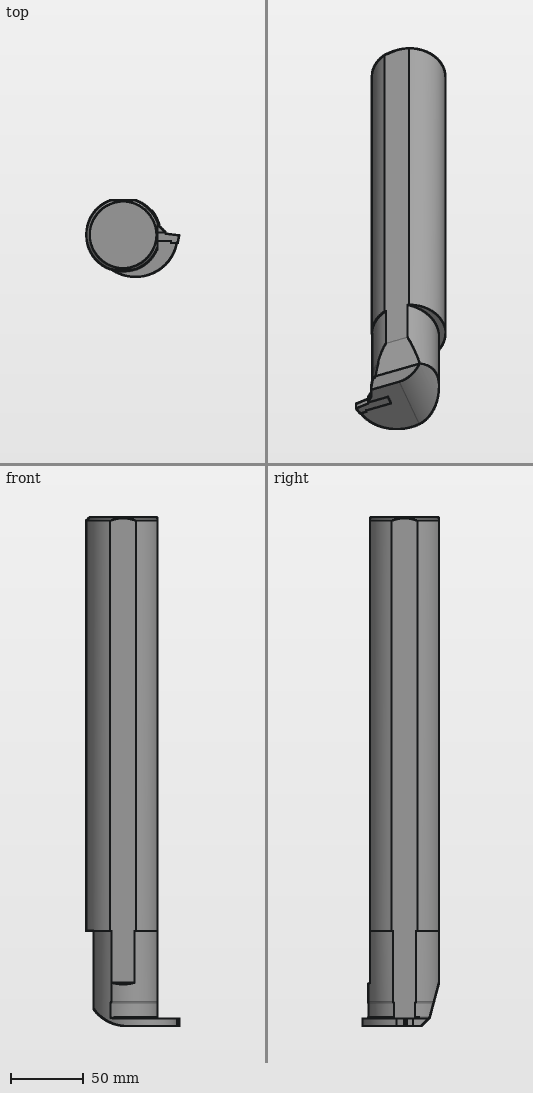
import cadquery as cq
import math


insert_overhang = 0.02
bar_length = 350.0
bar_bottom = insert_overhang
bar_top = bar_bottom + bar_length

shank_radius = 25.4
shank_chamfer = 2.5
flat_distance = 23.8
flat_bottom = 30.0

head_radius = 25.1
head_top = 65.5
neck_radius = 24.85
neck_top = 15.8
neck_flare_height = 1.1
neck_bottom_fillet = 1.0

blade_radius = 29.0
blade_center_x = 8.6
blade_top = 5.3
bottom_arc_radius = 28.0
bottom_arc_tangent_x = 2.6

relief_angle = 15.0
relief_start = 30.0
back_chamfer_height = 5.8
jaw_front_sum = 31.0

insert_tail_x = 14.5
insert_tip_x = 38.7
insert_tip_y = -0.3
insert_bottom_y = -4.4
insert_top_y = 1.7
jaw_end_x = jaw_front_sum - insert_top_y
insert_step_x = 33.0
insert_nose_x = 37.6
insert_nose_y = -5.5
insert_front_top_y = 0.9

large = 100.0


def disc(radius, bottom, top, center_x=0.0):
    """Upright cylinder between two heights."""
    base = cq.Workplane("XY", origin=(center_x, 0, bottom))
    return base.circle(radius).extrude(top - bottom)


def block(x_range, y_range, z_range):
    """Box given by its lower and upper limits on each axis."""
    corners = list(zip(x_range, y_range, z_range))
    sizes = [high - low for low, high in zip(*corners)]
    return cq.Workplane("XY").box(*sizes, centered=False).translate(corners[0])


def flatten(body, bottom, angle):
    """Mill a flat from a given height up, its lower end sloping down and outward at 45 degrees.

    The angle turns the flat about Z, measured from the +X side.
    """
    waste = (
        cq.Workplane("XZ", origin=(0, large, 0))
        .moveTo(flat_distance, bottom)
        .lineTo(shank_radius, bottom - (shank_radius - flat_distance))
        .lineTo(large, bottom)
        .lineTo(large, bar_top)
        .lineTo(flat_distance, bar_top)
        .close()
        .extrude(2 * large)
    )
    return body.cut(waste.rotate((0, 0, 0), (0, 0, 1), angle))


def make_shank():
    """Round shank with a chamfered top end."""
    shank = disc(shank_radius, head_top, bar_top)
    return shank.faces(">Z").chamfer(shank_chamfer)


def make_head():
    """Round head with a shallow neck that flares into the blade through a fillet."""
    neck_bottom = blade_top + neck_bottom_fillet
    fillet_foot = neck_radius + neck_bottom_fillet
    fillet_middle_offset = neck_bottom_fillet * math.sin(math.radians(45))
    fillet_middle = fillet_foot - fillet_middle_offset
    fillet_middle_z = neck_bottom - fillet_middle_offset
    return (
        cq.Workplane("XZ")
        .moveTo(0, bar_bottom)
        .lineTo(fillet_foot, bar_bottom)
        .lineTo(fillet_foot, blade_top)
        .threePointArc((fillet_middle, fillet_middle_z), (neck_radius, neck_bottom))
        .lineTo(neck_radius, neck_top)
        .lineTo(head_radius, neck_top + neck_flare_height)
        .lineTo(head_radius, head_top)
        .lineTo(0, head_top)
        .close()
        .revolve(360, (0, 0), (0, 1))
    )


def trim_bottom(body):
    """Round the underside upward toward -X with an arc tangent to the bottom face."""
    center_z = bar_bottom + bottom_arc_radius
    left_x = bottom_arc_tangent_x - bottom_arc_radius
    arc_middle_offset = bottom_arc_radius * math.sin(math.radians(45))
    arc_middle = (bottom_arc_tangent_x - arc_middle_offset, center_z - arc_middle_offset)
    waste = (
        cq.Workplane("XZ", origin=(0, large, 0))
        .moveTo(bottom_arc_tangent_x, bar_bottom)
        .threePointArc(arc_middle, (left_x, center_z))
        .lineTo(-large, center_z)
        .lineTo(-large, bar_bottom)
        .close()
        .extrude(2 * large)
    )
    return body.cut(waste)


def trim_back(body):
    """Relieve the +Y side: a slanted face, then a 45 degree edge along the bottom."""
    relief_drop = relief_start - back_chamfer_height
    chamfer_y = flat_distance - relief_drop * math.tan(math.radians(relief_angle))
    bottom_y = chamfer_y - (back_chamfer_height - bar_bottom)
    waste = (
        cq.Workplane("YZ", origin=(-large, 0, 0))
        .moveTo(large, relief_start)
        .lineTo(flat_distance, relief_start)
        .lineTo(chamfer_y, back_chamfer_height)
        .lineTo(bottom_y, bar_bottom)
        .lineTo(large, bar_bottom)
        .close()
        .extrude(2 * large)
    )
    return body.cut(waste)


def make_blade():
    """Eccentric disc cut back at 45 degrees to form the jaw above the insert."""
    blade = disc(blade_radius, bar_bottom, blade_top, blade_center_x)
    waste = (
        cq.Workplane("XY")
        .moveTo(jaw_front_sum, 0)
        .lineTo(jaw_front_sum + large, 0)
        .lineTo(jaw_front_sum, large)
        .lineTo(jaw_front_sum - large, large)
        .close()
        .extrude(blade_top)
    )
    return blade.cut(waste)


def make_insert():
    """Bar-shaped insert with a deeper nose; its tip stands past the blade."""
    return (
        cq.Workplane("XY")
        .moveTo(insert_tail_x, insert_bottom_y)
        .lineTo(insert_step_x, insert_bottom_y)
        .lineTo(insert_step_x, insert_nose_y)
        .lineTo(insert_nose_x, insert_nose_y)
        .lineTo(insert_tip_x, insert_tip_y)
        .lineTo(jaw_end_x, insert_front_top_y)
        .lineTo(jaw_end_x, insert_top_y)
        .lineTo(insert_tail_x, insert_top_y)
        .close()
        .extrude(blade_top)
    )


def make_bar(insert):
    """Shank and head with flats on three sides, and a seat for the insert."""
    flank = disc(blade_radius, bar_bottom, head_top, blade_center_x)
    head = make_head().intersect(flank)
    head = trim_back(trim_bottom(head.union(make_blade())))
    bar = head.union(make_shank())
    for angle in (-90, 90):
        bar = flatten(bar, flat_bottom, angle)
    bar = bar.cut(block((flat_distance, large), (-large, large), (blade_top, bar_top)))
    open_seat = block((jaw_end_x, large), (insert_bottom_y, large), (0, blade_top))
    return bar.cut(insert).cut(open_seat)


insert = make_insert()
bar = make_bar(insert)
result = cq.Compound.makeCompound([bar.val(), insert.val()])